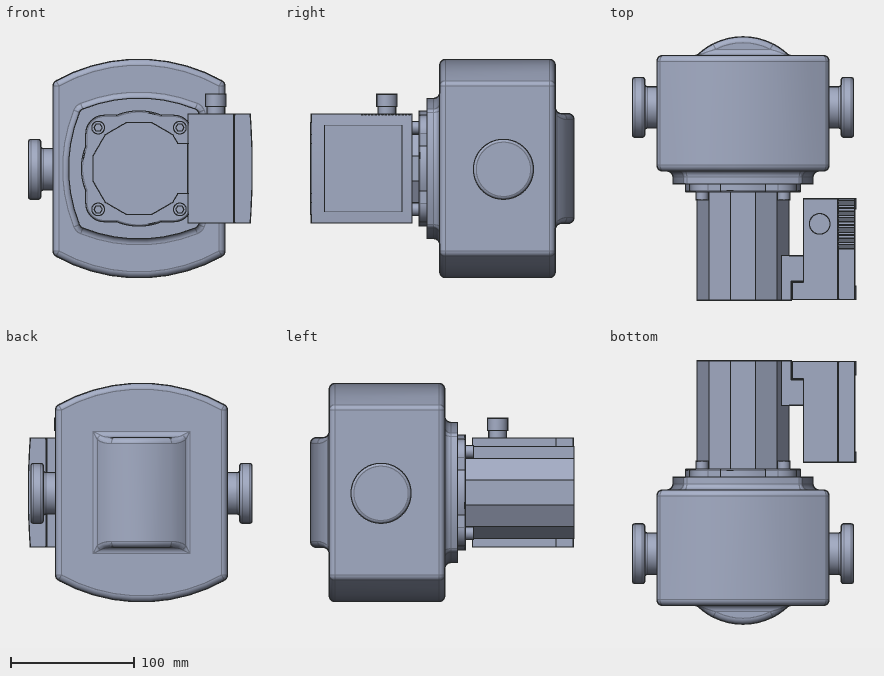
import cadquery as cq
import math


block_width = 139.5
block_depth = 93.8
block_height = 177.5
block_corner_z = 69.7
edge_radius = 5.0

selection_margin = 0.2

pedestal_depth = 10.3
pedestal_corner = 47.5
pedestal_bulge = 57.0

boss_height = 89.1
boss_radius = 53.2
back_y = 109.0

port_y = 51.7
port_z = -0.6
port_reach = 89.8
port_neck_radius = 16.9
port_rim_radius = 24.4
port_rim_thickness = 10.3
port_rim_rounding = 2.4
port_neck_fillet = 2.0

flange_thickness = 6.6
flange_half_width = 43.2
flange_corner_radius = 15.0
flange_lobe_radius = 46.8
flange_edge_radius = 1.0
can_sides = 12
can_across_flats = 74.8
motor_front_y = -104.7
flange_back_y = -pedestal_depth
flange_front_y = flange_back_y - flange_thickness

connector_width = 40.8
connector_back_y = -68.5
connector_step_y = -89.3
connector_lip_x = 39.1

screw_offset = 33.1
screw_head_radius = 5.1
screw_head_height = 6.5
socket_across_corners = 6.6
socket_depth = 3.2

box_back_y = -22.2
box_front_y = -104.0
box_left_x = 49.0
box_height = 88.5
box_side_x = 90.2
box_crown_x = 92.0
foot_clearance = 0.6
seam_x = 77.2
seam_width = 0.9
seam_depth = 0.6
label_x = 90.8
label_back_y = -30.5
label_front_y = -93.2

slot_count = 15
slot_width = 1.0
slot_pitch = 2.74
slot_depth = 1.0

gland_x = 62.2
gland_y = -42.8
gland_neck_radius = 7.3
gland_neck_height = 6.0
gland_cap_radius = 8.3
gland_cap_height = 10.0


def box_between(x_min, x_max, y_min, y_max, z_min, z_max):
    """Box given by its limits along the three axes."""
    size = (x_max - x_min, y_max - y_min, z_max - z_min)
    return cq.Workplane("XY").box(*size, centered=False).translate((x_min, y_min, z_min))


def facing_front(y):
    """Workplane at y whose local axes are X and Z and whose normal points to -Y."""
    return cq.Workplane("XZ", origin=(0, y, 0))


def make_block():
    half_width = block_width / 2
    half_height = block_height / 2
    return (
        facing_front(block_depth)
        .moveTo(-half_width, -block_corner_z)
        .threePointArc((0, -half_height), (half_width, -block_corner_z))
        .lineTo(half_width, block_corner_z)
        .threePointArc((0, half_height), (-half_width, block_corner_z))
        .close()
        .extrude(block_depth)
        .edges()
        .fillet(edge_radius)
    )


def make_pedestal():
    c = pedestal_corner
    b = pedestal_bulge
    return (
        facing_front(edge_radius)
        .moveTo(-c, -c)
        .threePointArc((0, -b), (c, -c))
        .threePointArc((b, 0), (c, c))
        .threePointArc((0, b), (-c, c))
        .threePointArc((-b, 0), (-c, -c))
        .close()
        .extrude(edge_radius + pedestal_depth)
        .edges("|Y")
        .fillet(edge_radius)
    )


def make_boss():
    """Slice of a lying disc, reaching a little into the block."""
    boss = (
        cq.Workplane("XY", origin=(0, back_y - boss_radius, -boss_height / 2))
        .circle(boss_radius)
        .extrude(boss_height)
    )
    keeper = box_between(
        -boss_radius, boss_radius, block_depth - edge_radius, back_y, -boss_height, boss_height
    )
    return boss.intersect(keeper)


def make_port(side):
    """Pipe port pointing to +X for side = 1 and to -X for side = -1."""
    start = block_width / 2 - edge_radius
    rim_start = port_reach - port_rim_thickness
    neck = (
        cq.Workplane("YZ", origin=(start, port_y, port_z))
        .circle(port_neck_radius)
        .extrude(rim_start - start)
    )
    rim = (
        cq.Workplane("YZ", origin=(rim_start, port_y, port_z))
        .circle(port_rim_radius)
        .extrude(port_rim_thickness)
        .edges()
        .fillet(port_rim_rounding)
    )
    root_reach = port_neck_radius + selection_margin
    root = cq.selectors.BoxSelector(
        (rim_start - selection_margin, port_y - root_reach, port_z - root_reach),
        (rim_start + selection_margin, port_y + root_reach, port_z + root_reach),
        boundingbox=True,
    )
    port = neck.union(rim).edges(root).fillet(port_neck_fillet)
    if side < 0:
        port = port.mirror("YZ")
    return port


def make_housing():
    reach = block_width / 2 - edge_radius

    def root_edges(y):
        """Selector for the edges in the flat block face at y, inside its rounded rim."""
        return cq.selectors.BoxSelector(
            (-reach, y - selection_margin, -reach),
            (reach, y + selection_margin, reach),
            boundingbox=True,
        )

    housing = make_block().union(make_pedestal())
    housing = housing.edges(root_edges(0)).fillet(edge_radius)
    housing = housing.union(make_boss())
    housing = housing.edges(root_edges(block_depth)).fillet(edge_radius)
    boss_rims = cq.selectors.BoxSelector(
        (-boss_radius, block_depth + edge_radius, -boss_height),
        (boss_radius, back_y, boss_height),
    )
    housing = housing.edges("%CIRCLE").edges(boss_rims).fillet(edge_radius)
    for side in (-1, 1):
        housing = housing.union(make_port(side))
    return housing


def make_flange():
    square = (
        facing_front(flange_back_y)
        .rect(2 * flange_half_width, 2 * flange_half_width)
        .extrude(flange_thickness)
        .edges("|Y")
        .fillet(flange_corner_radius)
    )
    lobes = facing_front(flange_back_y).circle(flange_lobe_radius).extrude(flange_thickness)
    return (
        square.union(lobes)
        .faces("<Y")
        .edges()
        .fillet(flange_edge_radius)
    )


def make_motor():
    half_side_angle = 180 / can_sides
    can_diameter = can_across_flats / math.cos(math.radians(half_side_angle))
    can = (
        facing_front(flange_front_y)
        .transformed(rotate=(0, 0, half_side_angle))
        .polygon(can_sides, can_diameter)
        .extrude(flange_front_y - motor_front_y)
    )
    half_width = connector_width / 2
    bridge = box_between(0, box_left_x, connector_step_y, connector_back_y, -half_width, half_width)
    lip = box_between(0, connector_lip_x, motor_front_y, connector_step_y, -half_width, half_width)
    return make_flange().union(can).union(bridge).union(lip)


def make_screw(x, z):
    head_front_y = flange_front_y - screw_head_height
    head = facing_front(flange_front_y).circle(screw_head_radius).extrude(screw_head_height)
    socket = facing_front(head_front_y).polygon(6, socket_across_corners).extrude(-socket_depth)
    return head.cut(socket).translate((x, 0, z))


def make_case():
    """Box with an arched right face and a foot that hooks in front of the connector."""
    half_height = box_height / 2
    case = (
        facing_front(box_back_y)
        .moveTo(box_left_x, -half_height)
        .lineTo(box_side_x, -half_height)
        .threePointArc((box_crown_x, 0), (box_side_x, half_height))
        .lineTo(box_left_x, half_height)
        .close()
        .extrude(box_back_y - box_front_y)
    )
    foot = box_between(
        connector_lip_x + foot_clearance,
        box_left_x,
        box_front_y,
        connector_step_y - foot_clearance,
        -half_height,
        half_height,
    )
    return case.union(foot)


def make_seam():
    """Shallow groove around the box where the lid meets the case."""
    half_height = box_height / 2
    seam_start = seam_x - seam_width / 2
    seam_end = seam_x + seam_width / 2
    outside = box_between(seam_start, seam_end, box_front_y, box_back_y, -half_height, half_height)
    core = box_between(
        seam_start,
        seam_end,
        box_front_y + seam_depth,
        box_back_y - seam_depth,
        -half_height + seam_depth,
        half_height - seam_depth,
    )
    return outside.cut(core)


def make_gland():
    neck = (
        cq.Workplane("XY", origin=(gland_x, gland_y, box_height / 2))
        .circle(gland_neck_radius)
        .extrude(gland_neck_height)
    )
    return neck.faces(">Z").workplane().circle(gland_cap_radius).extrude(gland_cap_height)


def make_control_box():
    half_height = box_height / 2
    control_box = make_case().cut(make_seam())
    label = box_between(label_x, box_crown_x, label_front_y, label_back_y, -half_height, half_height)
    control_box = control_box.cut(label)
    for i in range(slot_count):
        slot_front_y = box_back_y - (i + 1) * slot_pitch
        slot = box_between(
            seam_x,
            box_crown_x,
            slot_front_y,
            slot_front_y + slot_width,
            half_height - slot_depth,
            half_height,
        )
        control_box = control_box.cut(slot)
    return control_box.union(make_gland())


housing = make_housing()
motor = make_motor()
control_box = make_control_box()
screws = []
for screw_x in (-screw_offset, screw_offset):
    for screw_z in (-screw_offset, screw_offset):
        screws.append(make_screw(screw_x, screw_z).val())

result = cq.Compound.makeCompound([housing.val(), motor.val(), control_box.val(), *screws])